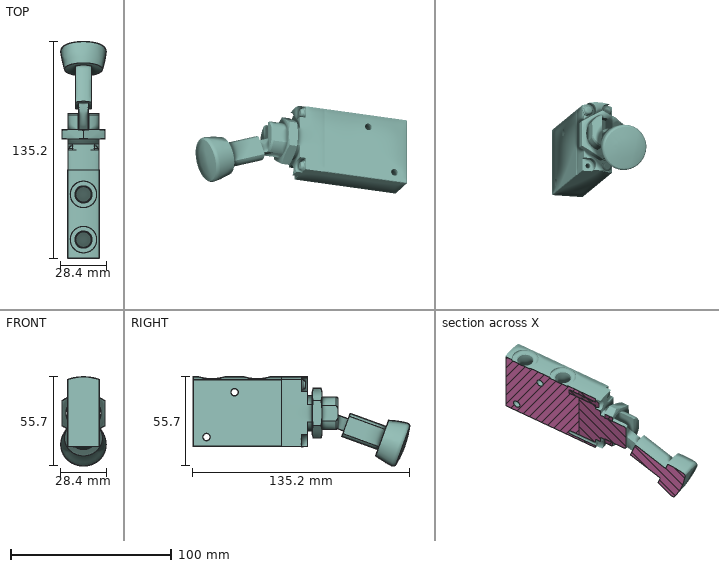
import cadquery as cq
import math

body_width = 20.0
head_width = 19.4
height = 43.6
crown_radius = 29.5
body_length = 55.1
head_front = 71.45
edge_chamfer = 0.3

port_positions = (11.7, 39.9)
spotface_diameter = 16.5
spotface_depth = 1.2
port_diameter = 9.7
port_mouth_diameter = 10.7
port_depth = 12.0

mounting_hole_diameter = 4.4
mounting_holes = ((8.4, 6.0), (25.9, 33.9))

neck_axis_z = 20.85
neck_root_diameter = 22.2
neck_diameter = 21.6
neck_width = head_width
neck_front = 90.45
neck_chamfer_length = 1.2
neck_chamfer_depth = 0.7
slot_width = 6.8
slot_floor = 74.7

nut_across_flats = 27.0
nut_rear = 74.3
nut_thickness = 6.1
nut_face_diameter = 26.6
nut_chamfer_angle = 15.0

screw_x = 6.0
screw_bottom_z = 3.3
screw_top_z = 38.6
pocket_radius = 4.2
pocket_floor = 67.6
screw_diameter = 3.0
screw_hole_diameter = 3.1
screw_length = 20.0
screw_end = pocket_floor - screw_length
flange_diameter = 6.8
flange_thickness = 0.9
dome_base_diameter = 5.6
dome_face_diameter = 3.6
dome_height = 1.6
dome_bulge_diameter = 5.2

lever_tilt = 20.0
pivot_y = 75.27
tongue_width = 6.0
tongue_height = 8.2
grip_start = 21.35
grip_diameter = 15.4
grip_width = 10.2
knob_start = 45.3
knob_base_radius = 11.85
knob_radius = 14.195
knob_bulge_radius = 13.35
knob_edge = 56.8
knob_shoulder = 59.0
knob_shoulder_radius = 13.2
knob_end = 60.4

screw_corners = (
    (-screw_x, screw_top_z),
    (screw_x, screw_top_z),
    (-screw_x, screw_bottom_z),
    (screw_x, screw_bottom_z),
)
fitted_corners = screw_corners[:3]


def y_plane(y):
    """Plane facing +Y at the given Y, with local x = -X and local y = Z."""
    return cq.Plane(origin=(0, y, 0), xDir=(-1, 0, 0), normal=(0, 1, 0))


def cylinder(x, z, diameter, start, end):
    """Cylinder along Y."""
    return cq.Workplane(y_plane(start)).center(-x, z).circle(diameter / 2).extrude(end - start)


def axial_box(width, start, end, depth):
    """Box of the given X width and Z depth, centred on the Y axis, from start to end."""
    return cq.Workplane("XY").box(width, end - start, depth).translate((0, (start + end) / 2, 0))


def arched_block(width, start, end):
    """Block with flat sides and bottom and an arched top."""
    half = width / 2
    shoulder = height - crown_radius + math.sqrt(crown_radius**2 - half**2)
    return (
        cq.Workplane(y_plane(start))
        .moveTo(-half, 0)
        .lineTo(half, 0)
        .lineTo(half, shoulder)
        .threePointArc((0, height), (-half, shoulder))
        .close()
        .extrude(end - start)
    )


def revolve_about_y(profile):
    """Full revolution of a closed XY profile about the Y axis."""
    return profile.close().revolve(360, (0, 0, 0), (0, 1, 0))


def make_port(y):
    """Cutter for one port: spotface, countersunk mouth and blind bore."""
    floor = height - spotface_depth
    mouth_depth = (port_mouth_diameter - port_diameter) / 2
    seat = cq.Workplane("XY", origin=(0, y, floor))
    spotface = seat.circle(spotface_diameter / 2).extrude(2 * spotface_depth)
    bore = seat.circle(port_diameter / 2).extrude(-port_depth)
    mouth = cq.Solid.makeCone(
        port_mouth_diameter / 2, port_diameter / 2, mouth_depth, cq.Vector(0, y, floor), cq.Vector(0, 0, -1)
    )
    return spotface.union(bore).union(cq.Workplane(mouth))


def make_body():
    body = arched_block(body_width, 0, body_length)
    body = body.faces("<X or >X").edges("<Y or <Z or >Z").chamfer(edge_chamfer)
    for y in port_positions:
        body = body.cut(make_port(y))
    for y, z in mounting_holes:
        hole = cq.Workplane("YZ", origin=(0, y, z)).circle(mounting_hole_diameter / 2)
        body = body.cut(hole.extrude(body_width, both=True))
    for x, z in screw_corners:
        body = body.cut(cylinder(x, z, screw_diameter, screw_end, body_length))
    return body


def make_pocket(x, z):
    """Cutter for one screw pocket: a round end opening sideways, with the screw hole in its floor."""
    outward = math.copysign(body_width / 2, x)
    round_end = cylinder(x, z, 2 * pocket_radius, pocket_floor, head_front)
    opening = axial_box(body_width, pocket_floor, head_front, 2 * pocket_radius)
    hole = cylinder(x, z, screw_hole_diameter, body_length, pocket_floor)
    return round_end.union(opening.translate((x + outward, 0, z))).union(hole)


def make_neck():
    """Neck centred on the Y axis, with two flats and a slot open to the front."""
    root = neck_root_diameter / 2
    radius = neck_diameter / 2
    profile = (
        cq.Workplane("XY")
        .moveTo(0, head_front)
        .lineTo(root, head_front)
        .lineTo(root, nut_rear)
        .lineTo(radius, nut_rear)
        .lineTo(radius, neck_front - neck_chamfer_length)
        .lineTo(radius - neck_chamfer_depth, neck_front)
        .lineTo(0, neck_front)
    )
    flats = axial_box(neck_width, head_front, neck_front, neck_root_diameter)
    slot = axial_box(slot_width, slot_floor, neck_front, neck_root_diameter)
    return revolve_about_y(profile).intersect(flats).cut(slot)


def make_head():
    head = arched_block(head_width, body_length, head_front)
    for x, z in screw_corners:
        head = head.cut(make_pocket(x, z))
    return head.union(make_neck().translate((0, 0, neck_axis_z)), clean=True)


def make_nut():
    corner_diameter = nut_across_flats / math.cos(math.radians(30))
    corner = corner_diameter / 2
    front = nut_rear + nut_thickness
    hexagon = (
        cq.Workplane(y_plane(nut_rear))
        .transformed(rotate=(0, 0, 90))
        .polygon(6, corner_diameter)
        .extrude(nut_thickness)
    )
    face = nut_face_diameter / 2
    rise = (corner - face) * math.tan(math.radians(nut_chamfer_angle))
    envelope = (
        cq.Workplane("XY")
        .moveTo(0, nut_rear)
        .lineTo(face, nut_rear)
        .lineTo(corner, nut_rear + rise)
        .lineTo(corner, front - rise)
        .lineTo(face, front)
        .lineTo(0, front)
    )
    bore = cylinder(0, 0, neck_diameter, nut_rear, front)
    nut = hexagon.intersect(revolve_about_y(envelope)).cut(bore)
    return nut.translate((0, 0, neck_axis_z))


def make_screw(x, z):
    """Flanged button-head screw seated on a pocket floor."""
    shank = screw_diameter / 2
    flange = flange_diameter / 2
    dome_start = pocket_floor + flange_thickness
    dome_end = dome_start + dome_height
    dome_face = dome_face_diameter / 2
    profile = (
        cq.Workplane("XY")
        .moveTo(0, screw_end)
        .lineTo(shank, screw_end)
        .lineTo(shank, pocket_floor)
        .lineTo(flange, pocket_floor)
        .lineTo(flange, dome_start)
        .lineTo(dome_base_diameter / 2, dome_start)
        .threePointArc((dome_bulge_diameter / 2, dome_start + dome_height / 2), (dome_face, dome_end))
        .lineTo(0, dome_end)
    )
    return revolve_about_y(profile).translate((x, 0, z))


def make_tongue():
    """Flat bar with a rounded heel that touches the slot's closed end."""
    heel_radius = tongue_height / 2
    heel_y = (slot_floor + heel_radius - pivot_y) / math.cos(math.radians(lever_tilt))
    bar = axial_box(tongue_width, heel_y, grip_start, tongue_height)
    heel = cq.Workplane("YZ", origin=(0, heel_y, 0)).circle(heel_radius)
    heel = heel.extrude(tongue_width / 2, both=True)
    return bar.union(heel)


def make_grip():
    """Round bar with two flats."""
    flats = axial_box(grip_width, grip_start, knob_start, grip_diameter)
    return cylinder(0, 0, grip_diameter, grip_start, knob_start).intersect(flats)


def make_knob():
    """Flared knob with a rounded shoulder and a shallow domed end."""
    dome_rise = knob_end - knob_shoulder
    dome_radius = (knob_shoulder_radius**2 + dome_rise**2) / (2 * dome_rise)
    half_way = knob_shoulder_radius / 2
    dome_half_way_y = knob_end - dome_radius + math.sqrt(dome_radius**2 - half_way**2)
    profile = (
        cq.Workplane("XY")
        .moveTo(0, knob_start)
        .lineTo(knob_base_radius, knob_start)
        .threePointArc((knob_bulge_radius, (knob_start + knob_edge) / 2), (knob_radius, knob_edge))
        .tangentArcPoint((knob_shoulder_radius, knob_shoulder), relative=False)
        .threePointArc((half_way, dome_half_way_y), (0, knob_end))
    )
    return revolve_about_y(profile)


def make_lever():
    lever = make_tongue().union(make_grip()).union(make_knob())
    return lever.rotate((0, 0, 0), (1, 0, 0), -lever_tilt).translate((0, pivot_y, neck_axis_z))


body = make_body()
head = make_head()
nut = make_nut()
lever = make_lever()
screws = [make_screw(x, z) for x, z in fitted_corners]

result = cq.Compound.makeCompound(
    [body.val(), head.val(), nut.val(), lever.val(), *[screw.val() for screw in screws]]
)